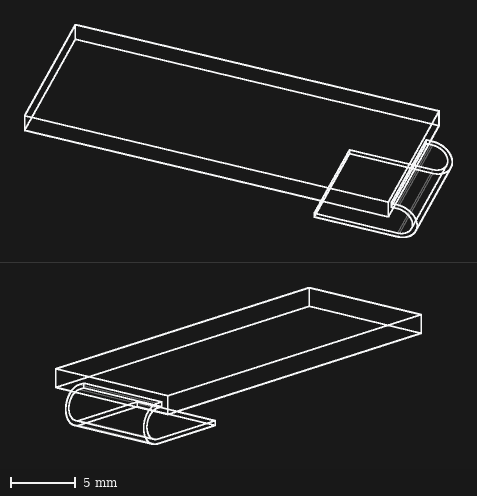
import cadquery as cq

overall_length = 32.15
plate_width = 11.5
plate_thickness = 1.5

overall_height = 3.9
strip_width = 8.0
strip_thickness = 0.4
strip_side_offset = 0.6
strip_top_drop = 0.6
upper_leg_length = 0.5
lower_leg_reach = 6.33

bend_outer_radius = (overall_height - strip_top_drop) / 2
bend_inner_radius = bend_outer_radius - strip_thickness
bend_center_x = overall_length - bend_outer_radius
bend_center_z = -strip_top_drop - bend_outer_radius
plate_length = bend_center_x - upper_leg_length
lower_leg_end_x = plate_length - lower_leg_reach


def make_plate():
    """Flat rectangular plate."""
    return cq.Workplane("XY").box(
        plate_length, plate_width, plate_thickness, centered=False
    ).translate((0, 0, -plate_thickness))


def make_strip():
    """Thin strip bent into a hook, butted against the end face of the plate."""
    outer_top = bend_center_z + bend_outer_radius
    outer_bottom = bend_center_z - bend_outer_radius
    inner_top = bend_center_z + bend_inner_radius
    inner_bottom = bend_center_z - bend_inner_radius
    return (
        cq.Workplane("XZ", origin=(0, strip_side_offset, 0))
        .moveTo(plate_length, outer_top)
        .lineTo(bend_center_x, outer_top)
        .threePointArc((bend_center_x + bend_outer_radius, bend_center_z), (bend_center_x, outer_bottom))
        .lineTo(lower_leg_end_x, outer_bottom)
        .lineTo(lower_leg_end_x, inner_bottom)
        .lineTo(bend_center_x, inner_bottom)
        .threePointArc((bend_center_x + bend_inner_radius, bend_center_z), (bend_center_x, inner_top))
        .lineTo(plate_length, inner_top)
        .close()
        .extrude(-strip_width)
    )


plate = make_plate()
strip = make_strip()
result = cq.Compound.makeCompound([plate.val(), strip.val()])